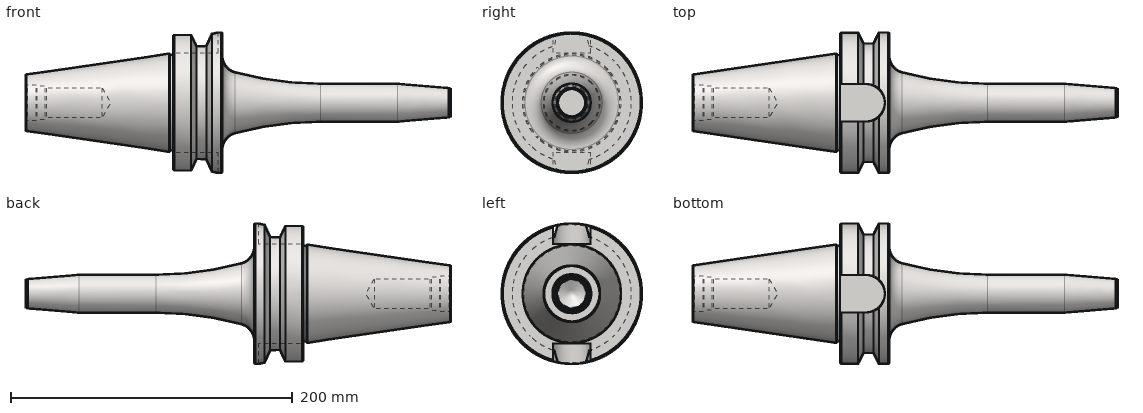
import cadquery as cq
import math

total_length = 301.8
taper_small_radius = 20.2
taper_large_radius = 35.0
taper_length = 101.7
taper_edge_chamfer = 0.5
neck_radius = 34.0
neck_step = 1.0

flange_start = 104.7
flange_end = 139.7
flange_diameter = 100.0
flange_radius = flange_diameter / 2
flange_chamfer = 1.0
groove_start = 117.5
groove_end = 132.2
groove_floor_start = 121.3
groove_floor_end = 128.3
groove_radius = 42.3

fillet_end = 148.5
fillet_end_radius = 21.7
flare_end = 209.5
shank_radius = 13.5
shank_end = 264.0
tip_radius = 10.5
tip_chamfer_length = 1.5
tip_chamfer_drop = 1.0

slot_width = 26.5
slot_end = 136.5
slot_floor_height = 35.3

mouth_radius = 12.7
mouth_depth = 7.2
mouth_chamfer = 1.2
pilot_radius = 11.8
pilot_start = 8.0
pilot_depth = 13.5
bore_radius = 10.5
bore_start = 14.8
bore_depth = 54.3
drill_half_angle = 60
drill_point_depth = bore_radius * math.tan(math.radians(90 - drill_half_angle))

flare_length = flare_end - fillet_end
flare_rise = fillet_end_radius - shank_radius
flare_radius = (flare_length**2 + flare_rise**2) / (2 * flare_rise)
flare_half_angle = math.asin(flare_length / flare_radius) / 2
flare_mid = (
    flare_end - flare_radius * math.sin(flare_half_angle),
    shank_radius + flare_radius * (1 - math.cos(flare_half_angle)),
)

flare_slope = 2 * flare_half_angle
fillet_radius = (fillet_end - flange_end) / (1 - math.sin(flare_slope))
fillet_centre = (
    flange_end + fillet_radius,
    fillet_end_radius + fillet_radius * math.cos(flare_slope),
)
fillet_mid_angle = math.pi + (math.pi / 2 - flare_slope) / 2
fillet_mid = (
    fillet_centre[0] + fillet_radius * math.cos(fillet_mid_angle),
    fillet_centre[1] + fillet_radius * math.sin(fillet_mid_angle),
)


def make_body():
    """Revolve the outer half outline about the X axis."""
    return (
        cq.Workplane("XY")
        .lineTo(0, taper_small_radius - taper_edge_chamfer)
        .lineTo(taper_edge_chamfer, taper_small_radius)
        .lineTo(taper_length, taper_large_radius)
        .lineTo(taper_length + neck_step, neck_radius)
        .lineTo(flange_start, neck_radius)
        .lineTo(flange_start, flange_radius - flange_chamfer)
        .lineTo(flange_start + flange_chamfer, flange_radius)
        .lineTo(groove_start, flange_radius)
        .lineTo(groove_floor_start, groove_radius)
        .lineTo(groove_floor_end, groove_radius)
        .lineTo(groove_end, flange_radius)
        .lineTo(flange_end - flange_chamfer, flange_radius)
        .lineTo(flange_end, flange_radius - flange_chamfer)
        .lineTo(flange_end, fillet_centre[1])
        .threePointArc(fillet_mid, (fillet_end, fillet_end_radius))
        .threePointArc(flare_mid, (flare_end, shank_radius))
        .lineTo(shank_end, shank_radius)
        .lineTo(total_length - tip_chamfer_length, tip_radius)
        .lineTo(total_length, tip_radius - tip_chamfer_drop)
        .lineTo(total_length, 0)
        .close()
        .revolve(360, (0, 0, 0), (1, 0, 0))
    )


def make_slot(side):
    """Round-ended cutter for one drive slot; side is +1 (top) or -1 (bottom)."""
    half_width = slot_width / 2
    arc_centre = slot_end - half_width
    return (
        cq.Workplane("XY")
        .workplane(offset=side * slot_floor_height)
        .moveTo(flange_start, -half_width)
        .lineTo(arc_centre, -half_width)
        .threePointArc((slot_end, 0), (arc_centre, half_width))
        .lineTo(flange_start, half_width)
        .close()
        .extrude(side * flange_radius)
    )


def make_bore():
    """Stepped bore with a chamfered mouth and a conical drill point."""
    return (
        cq.Workplane("XY")
        .lineTo(0, mouth_radius + mouth_chamfer)
        .lineTo(mouth_chamfer, mouth_radius)
        .lineTo(mouth_depth, mouth_radius)
        .lineTo(pilot_start, pilot_radius)
        .lineTo(pilot_depth, pilot_radius)
        .lineTo(bore_start, bore_radius)
        .lineTo(bore_depth, bore_radius)
        .lineTo(bore_depth + drill_point_depth, 0)
        .close()
        .revolve(360, (0, 0, 0), (1, 0, 0))
    )


result = make_body().cut(make_bore())
for side in (1, -1):
    result = result.cut(make_slot(side))